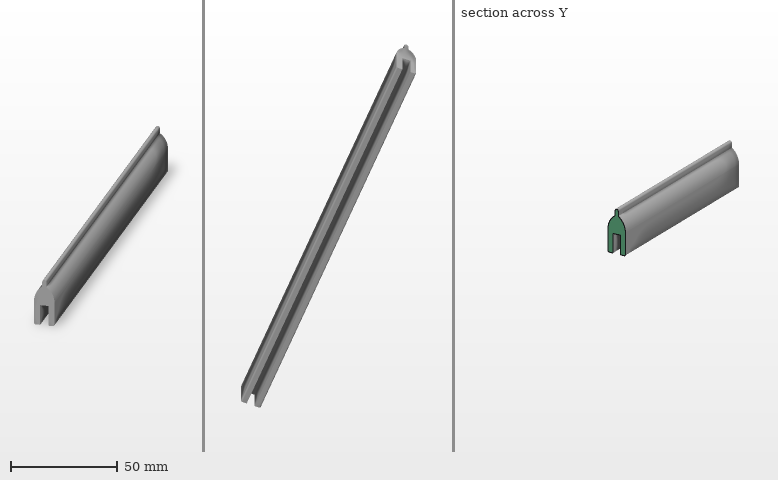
import cadquery as cq
import math

length = 200.0
width = 10.0
height = 23.0

slot_width = 4.0
slot_depth = 10.0

side_height = 12.0
shoulder_radius = 9.0

rib_width = 2.0
tip_radius = rib_width / 2

foot_radius = 0.8

half_width = width / 2
half_slot = slot_width / 2
half_rib = rib_width / 2

shoulder_center_x = half_width - shoulder_radius


def shoulder_height(x):
    """Height of the shoulder arc at distance x from the middle plane."""
    return side_height + math.sqrt(shoulder_radius**2 - (x - shoulder_center_x) ** 2)


shoulder_top = shoulder_height(half_rib)
shoulder_mid_x = (half_width + half_rib) / 2
shoulder_mid_z = shoulder_height(shoulder_mid_x)
tip_base = height - tip_radius

profile = (
    cq.Workplane("XZ", origin=(0, length / 2, 0))
    .moveTo(half_slot, 0)
    .lineTo(half_width, 0)
    .lineTo(half_width, side_height)
    .threePointArc((shoulder_mid_x, shoulder_mid_z), (half_rib, shoulder_top))
    .lineTo(half_rib, tip_base)
    .threePointArc((0, height), (-half_rib, tip_base))
    .lineTo(-half_rib, shoulder_top)
    .threePointArc((-shoulder_mid_x, shoulder_mid_z), (-half_width, side_height))
    .lineTo(-half_width, 0)
    .lineTo(-half_slot, 0)
    .lineTo(-half_slot, slot_depth)
    .lineTo(half_slot, slot_depth)
    .close()
)
strip = profile.extrude(length)

outer_foot_edges = strip.faces("<X or >X").edges("<Z")
result = outer_foot_edges.fillet(foot_radius)